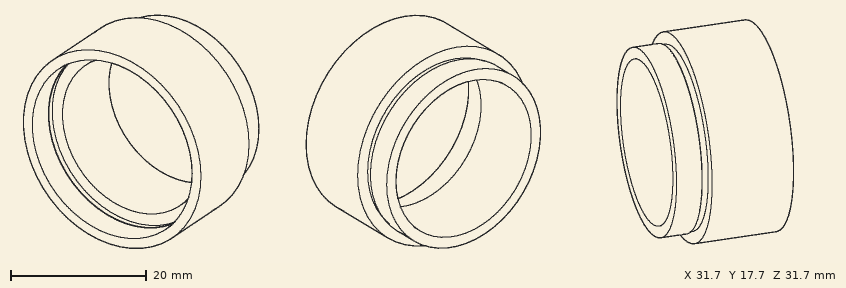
import cadquery as cq

body_diameter = 31.7
spigot_diameter = 28.5
neck_diameter = 28.0
bore_diameter = 25.0
socket_diameter = spigot_diameter

total_length = 17.7
spigot_length = 4.0
neck_length = 1.0
socket_depth = 5.4
relief_diameter = 28.7
relief_length = 1.0
body_length = total_length - spigot_length - neck_length


def cylinder(diameter, start, length):
    """Solid cylinder along +Y, starting at the given distance from the socket face."""
    plane = cq.Workplane("XZ", origin=(0, start, 0))
    return plane.circle(diameter / 2).extrude(-length)


body = cylinder(body_diameter, 0, body_length)
neck = cylinder(neck_diameter, body_length, neck_length)
spigot = cylinder(spigot_diameter, body_length + neck_length, spigot_length)

bore = cylinder(bore_diameter, 0, total_length)
socket = cylinder(socket_diameter, 0, socket_depth)

relief = cylinder(relief_diameter, socket_depth - relief_length, relief_length)

result = body.union(neck).union(spigot).cut(bore).cut(socket).cut(relief)